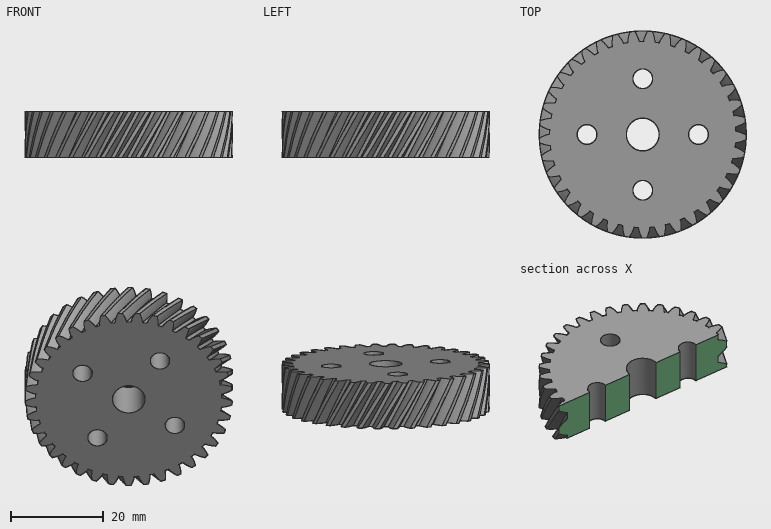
import cadquery as cq
import math

outer_diameter = 44.6
face_width = 10.0
bore_diameter = 7.0

bolt_hole_diameter = 4.2
bolt_hole_count = 4
bolt_circle_radius = 12.0

tooth_count = 37
pitch_diameter = 42.7
root_diameter = 40.1
helix_angle = math.radians(30)
normal_pressure_angle = math.radians(20)
first_tooth_angle = math.radians(90)

outer_radius = outer_diameter / 2
pitch_radius = pitch_diameter / 2
root_radius = root_diameter / 2
tooth_pitch_angle = 2 * math.pi / tooth_count
transverse_pressure_angle = math.atan(math.tan(normal_pressure_angle) / math.cos(helix_angle))
base_radius = pitch_radius * math.cos(transverse_pressure_angle)
twist_angle = math.degrees(face_width * math.tan(helix_angle) / pitch_radius)


def involute(angle):
    return math.tan(angle) - angle


def half_tooth_angle(radius):
    """Angle from the tooth centreline to its involute flank at a given radius."""
    local_pressure_angle = math.acos(base_radius / radius)
    return tooth_pitch_angle / 4 + involute(transverse_pressure_angle) - involute(local_pressure_angle)


def polar_point(radius, angle):
    return (radius * math.cos(angle), radius * math.sin(angle))


def tooth_outline():
    """Closed outline of all teeth: flank, tip, flank and root arcs, counter-clockwise."""
    root_half_angle = half_tooth_angle(root_radius)
    pitch_half_angle = half_tooth_angle(pitch_radius)
    tip_half_angle = half_tooth_angle(outer_radius)

    outline = cq.Workplane("XY").moveTo(*polar_point(root_radius, first_tooth_angle - root_half_angle))
    for tooth in range(tooth_count):
        centre = first_tooth_angle + tooth * tooth_pitch_angle
        next_centre = centre + tooth_pitch_angle
        outline = (
            outline
            .threePointArc(
                polar_point(pitch_radius, centre - pitch_half_angle),
                polar_point(outer_radius, centre - tip_half_angle),
            )
            .threePointArc(
                polar_point(outer_radius, centre),
                polar_point(outer_radius, centre + tip_half_angle),
            )
            .threePointArc(
                polar_point(pitch_radius, centre + pitch_half_angle),
                polar_point(root_radius, centre + root_half_angle),
            )
            .threePointArc(
                polar_point(root_radius, centre + tooth_pitch_angle / 2),
                polar_point(root_radius, next_centre - root_half_angle),
            )
        )
    return outline.close()


gear = tooth_outline().twistExtrude(face_width, twist_angle)

bore = cq.Workplane("XY").circle(bore_diameter / 2).extrude(face_width)
bolt_holes = (
    cq.Workplane("XY")
    .polarArray(bolt_circle_radius, 0, 360, bolt_hole_count)
    .circle(bolt_hole_diameter / 2)
    .extrude(face_width)
)

result = gear.cut(bore).cut(bolt_holes)